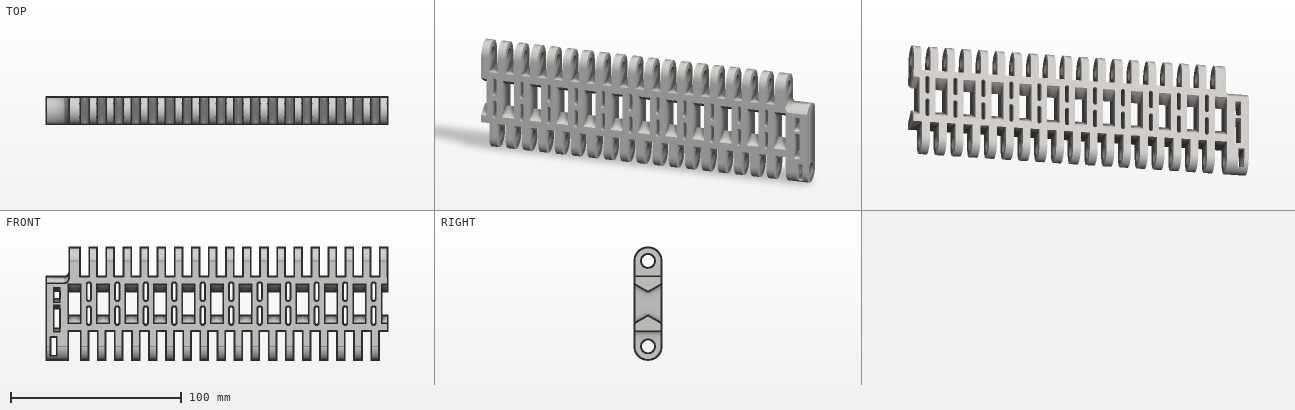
import cadquery as cq
import math

length = 200.0
thickness = 16.0
pin_spacing = 50.0
pin_hole_diameter = 8.0
knuckle_radius = thickness / 2
pin_z = pin_spacing / 2

body_half_height = 16.0

finger_pitch = 10.0
finger_width = 4.7
finger_count = 18
first_lower_finger_x = 22.5
first_upper_finger_x = first_lower_finger_x + finger_pitch / 2
wide_finger_start = 13.5
wide_finger_end = first_upper_finger_x - finger_pitch + finger_width / 2

block_length = 13.0
block_crown_radius = 10.0
block_crown_center_z = body_half_height - block_crown_radius
block_fillet_radius = 2.5

window_count = 12
bay_pitch = length / window_count
window_width = 7.2
window_half_height = 11.5
window_taper_angle = 30.0
window_taper = thickness / 2 * math.tan(math.radians(window_taper_angle))
oblong_count = window_count - 1
oblong_width = 2.4
oblong_length = 10.8
oblong_center_z = 7.0
first_oblong_x = 1.5 * bay_pitch

pocket_start = 4.5
pocket_width = 3.5
pocket_taper_angle = 15.0
pocket_taper = thickness / 2 * math.tan(math.radians(pocket_taper_angle))
pocket_bridge = 1.6
upper_pocket_z = (pocket_bridge / 2, 9.4)
lower_pocket_z = (-16.4, -pocket_bridge / 2)
drain_start = 2.7
drain_width = 3.5
drain_height = 10.8


def box_between(x_start, x_end, z_bottom, z_top):
    """Block of full thickness between two X and two Z positions."""
    return cq.Workplane("XY").box(
        x_end - x_start, thickness, z_top - z_bottom, centered=(False, True, False)
    ).translate((x_start, 0, z_bottom))


def finger(x_start, x_end, side):
    """Finger from mid-height to a rounded knuckle; side is +1 up, -1 down."""
    profile = (
        cq.Workplane("YZ")
        .moveTo(-knuckle_radius, 0)
        .lineTo(-knuckle_radius, side * pin_z)
        .threePointArc((0, side * (pin_z + knuckle_radius)), (knuckle_radius, side * pin_z))
        .lineTo(knuckle_radius, 0)
        .close()
    )
    return profile.extrude(x_end - x_start).translate((x_start, 0, 0))


def waisted_opening(x_start, width, z_bottom, z_top, taper):
    """Opening through Y whose floor and ceiling close in to a waist at mid-thickness."""
    half = thickness / 2
    return (
        cq.Workplane("YZ")
        .polyline([
            (-half, z_bottom),
            (0, z_bottom + taper),
            (half, z_bottom),
            (half, z_top),
            (0, z_top - taper),
            (-half, z_top),
        ])
        .close()
        .extrude(width)
        .translate((x_start, 0, 0))
    )


def end_block():
    """Plain block with a crowned top and a lower knuckle."""
    crown = (
        cq.Workplane("YZ")
        .center(0, block_crown_center_z)
        .circle(block_crown_radius)
        .extrude(wide_finger_start)
    )
    upper = box_between(0, wide_finger_start, 0, body_half_height).intersect(crown)
    return upper.union(finger(0, block_length, -1))


def crown_fillet():
    """Concave fillet sweeping round the crown into the side of the first finger."""
    outer_radius = block_crown_radius + block_fillet_radius
    fillet_start = wide_finger_start - block_fillet_radius
    blend = block_fillet_radius * (1 - math.sqrt(0.5))
    ring = (
        cq.Workplane("XZ")
        .moveTo(fillet_start, 0)
        .lineTo(fillet_start, block_crown_radius)
        .threePointArc(
            (wide_finger_start - blend, block_crown_radius + blend),
            (wide_finger_start, outer_radius),
        )
        .lineTo(wide_finger_start, 0)
        .close()
        .revolve(360, (0, 0, 0), (1, 0, 0))
        .translate((0, 0, block_crown_center_z))
    )
    return ring.intersect(box_between(fillet_start, wide_finger_start, 0, pin_z))


def hinge_fingers():
    """Rows of fingers above and below the body, offset so that modules mesh."""
    fingers = finger(wide_finger_start, wide_finger_end, 1)
    for first_x, side in ((first_upper_finger_x, 1), (first_lower_finger_x, -1)):
        for index in range(finger_count):
            x_start = first_x + index * finger_pitch - finger_width / 2
            fingers = fingers.union(finger(x_start, x_start + finger_width, side))
    return fingers


def oblong_slots():
    """Pairs of upright round-ended slots midway between the windows."""
    centers = [
        (first_oblong_x + index * bay_pitch, side * oblong_center_z)
        for index in range(oblong_count)
        for side in (-1, 1)
    ]
    return (
        cq.Workplane("XZ")
        .pushPoints(centers)
        .slot2D(oblong_length, oblong_width, 90)
        .extrude(thickness / 2, both=True)
    )


def pin_holes():
    """Two hinge pin bores along the full length."""
    return (
        cq.Workplane("YZ")
        .pushPoints([(0, -pin_z), (0, pin_z)])
        .circle(pin_hole_diameter / 2)
        .extrude(length)
    )


def windows():
    """Waisted windows along the body."""
    return [
        waisted_opening(
            (index + 1) * bay_pitch - window_width / 2,
            window_width,
            -window_half_height,
            window_half_height,
            window_taper,
        )
        for index in range(window_count)
    ]


def block_pockets():
    """Two waisted pockets through the end block, one above the other."""
    return [
        waisted_opening(pocket_start, pocket_width, z_bottom, z_top, pocket_taper)
        for z_bottom, z_top in (lower_pocket_z, upper_pocket_z)
    ]


def drain_slot():
    """Slot through the lower knuckle of the end block, centred on the pin."""
    return box_between(
        drain_start,
        drain_start + drain_width,
        -pin_z - drain_height / 2,
        -pin_z + drain_height / 2,
    )


body = box_between(wide_finger_start, length, -body_half_height, body_half_height)
block_core = box_between(0, wide_finger_start, -body_half_height, 0)
result = body.union(block_core).union(end_block()).union(crown_fillet()).union(hinge_fingers())

for opening in windows() + block_pockets():
    result = result.cut(opening)

result = result.cut(drain_slot()).cut(oblong_slots()).cut(pin_holes())